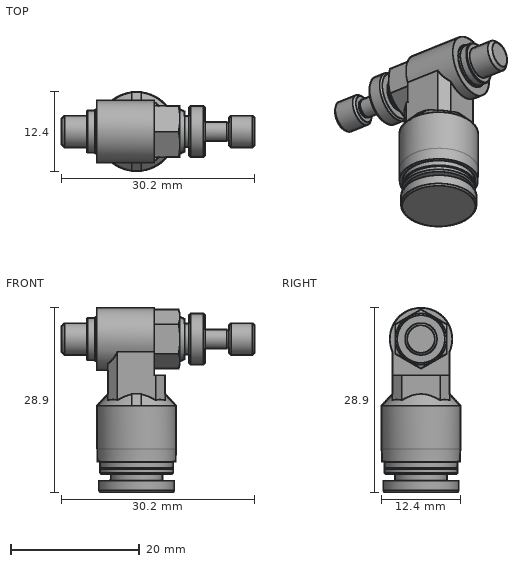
import cadquery as cq
import math


OVERLAP = 0.3

BARREL_R = 4.9
BARREL_LEFT = -6.22
BARREL_RIGHT = 2.78

STUB_R = 2.5
STUB_LEFT = -11.75
STUB_CHAMFER = 0.5
COLLAR_R = 3.32
COLLAR_LEFT = -7.75
COLLAR_CHAMFER = 0.12
SEAL_R = 3.5
SEAL_CONE_LEFT = -6.55
SEAL_LEFT = -6.3

HEX_FLATS = 8.0
HEX_RIGHT = 6.77
HEX_CORNER_DROP = 0.2

SHOULDER_R = 3.5
SHOULDER_END_R = 3.15
SHOULDER_RIGHT = 7.5
SCREW_NECK_R = 2.45
NUT_R = 4.02
NUT_LEFT = 8.2
NUT_RIGHT = 10.72
NUT_CHAMFER = 0.3
STEM_R = 1.5
STEM_RIGHT = 14.1
UNDERCUT_R = 1.4
CAP_R = STUB_R
CAP_LEFT = 14.4
CAP_RIGHT = 18.45
CAP_CHAMFER = 0.35

POST_HALF = 4.47
POST_CHAMFER = 1.48
LEDGE_Z = -5.65

SOCKET_R = 6.2
CONE_TOP_Z = -8.58
SOCKET_TOP_Z = -10.42
TAPER_TOP_Z = -17.15
SOCKET_BOTTOM_Z = -19.15
SOCKET_BOTTOM_R = 6.13
RIB_WIDTH = 1.48

RING_R = 5.75
RING_TOP_CHAMFER = 0.1
GROOVE_R = 5.55
GROOVE_TOP_Z = -20.1
GROOVE_BOTTOM_Z = -20.18
LOWER_RING_TOP_Z = -20.33
RING_BOTTOM_Z = -21.15
RING_CHAMFER = 0.27
TUBE_NECK_R = 4.08
NECK_FLARE_TOP_Z = -21.9
NECK_FLARE_R = 4.1
FLANGE_R = 5.92
FLANGE_TOP_Z = -22.1
FLANGE_BOTTOM_Z = -23.95
FLANGE_CHAMFER_WIDTH = 0.2
FLANGE_CHAMFER_HEIGHT = 0.3


def turned_x(stations):
    """Solid of revolution about X from (x, radius) stations."""
    points = [(stations[0][0], 0)] + stations + [(stations[-1][0], 0)]
    return cq.Workplane("XY").polyline(points).close().revolve(360, (0, 0), (1, 0))


def turned_z(stations):
    """Solid of revolution about Z from (radius, z) stations."""
    points = [(0, stations[0][1])] + stations + [(0, stations[-1][1])]
    return cq.Workplane("XZ").polyline(points).close().revolve(360, (0, 0), (0, 1))


def make_barrel():
    """Barrel with everything that is turned around its axis, from stub to cap."""
    return turned_x([
        (STUB_LEFT, STUB_R - STUB_CHAMFER),
        (STUB_LEFT + STUB_CHAMFER, STUB_R),
        (COLLAR_LEFT, STUB_R),
        (COLLAR_LEFT, COLLAR_R - COLLAR_CHAMFER),
        (COLLAR_LEFT + COLLAR_CHAMFER, COLLAR_R),
        (SEAL_CONE_LEFT, COLLAR_R),
        (SEAL_LEFT, SEAL_R),
        (BARREL_LEFT, SEAL_R),
        (BARREL_LEFT, BARREL_R),
        (BARREL_RIGHT, BARREL_R),
        (BARREL_RIGHT, SHOULDER_R),
        (HEX_RIGHT, SHOULDER_R),
        (SHOULDER_RIGHT, SHOULDER_END_R),
        (SHOULDER_RIGHT, SCREW_NECK_R),
        (NUT_LEFT, SCREW_NECK_R),
        (NUT_LEFT, NUT_R - NUT_CHAMFER),
        (NUT_LEFT + NUT_CHAMFER, NUT_R),
        (NUT_RIGHT - NUT_CHAMFER, NUT_R),
        (NUT_RIGHT, NUT_R - NUT_CHAMFER),
        (NUT_RIGHT, STEM_R),
        (STEM_RIGHT, STEM_R),
        (STEM_RIGHT, UNDERCUT_R),
        (CAP_LEFT, UNDERCUT_R),
        (CAP_LEFT, CAP_R - CAP_CHAMFER),
        (CAP_LEFT + CAP_CHAMFER, CAP_R),
        (CAP_RIGHT - CAP_CHAMFER, CAP_R),
        (CAP_RIGHT, CAP_R - CAP_CHAMFER),
    ])


def make_hexagon():
    """Hexagon with its right-hand corners turned off by a cone."""
    corner_r = HEX_FLATS / 2 / math.cos(math.radians(30))
    left = BARREL_RIGHT - OVERLAP
    corner_up_turn = 90
    prism = (
        cq.Workplane("YZ", origin=(left, 0, 0))
        .polygon(6, 2 * corner_r)
        .extrude(HEX_RIGHT - left)
        .rotate((0, 0, 0), (1, 0, 0), corner_up_turn)
    )
    chamfered_blank = turned_x([
        (left, corner_r),
        (HEX_RIGHT - HEX_CORNER_DROP, corner_r),
        (HEX_RIGHT, HEX_FLATS / 2),
    ])
    return prism.intersect(chamfered_blank)


def make_post():
    """Square post with chamfered corners, cut back to a low ledge beside the barrel."""
    side = 2 * POST_HALF
    post = (
        cq.Workplane("XY", origin=(0, 0, SOCKET_TOP_Z - OVERLAP))
        .rect(side, side)
        .extrude(OVERLAP - SOCKET_TOP_Z)
        .edges("|Z")
        .chamfer(POST_CHAMFER)
    )
    clearance = cq.Workplane("XY").box(side, side, -LEDGE_Z, centered=(False, True, False))
    return post.cut(clearance.translate((BARREL_RIGHT, 0, LEDGE_Z)))


def make_socket():
    """Socket, rings, neck and release flange, from the cone down."""
    return turned_z([
        (POST_HALF, CONE_TOP_Z),
        (SOCKET_R, SOCKET_TOP_Z),
        (SOCKET_R, TAPER_TOP_Z),
        (SOCKET_BOTTOM_R, SOCKET_BOTTOM_Z),
        (RING_R - RING_TOP_CHAMFER, SOCKET_BOTTOM_Z),
        (RING_R, SOCKET_BOTTOM_Z - RING_TOP_CHAMFER),
        (RING_R, GROOVE_TOP_Z),
        (GROOVE_R, GROOVE_TOP_Z),
        (GROOVE_R, GROOVE_BOTTOM_Z),
        (RING_R, LOWER_RING_TOP_Z),
        (RING_R, RING_BOTTOM_Z + RING_CHAMFER),
        (RING_R - RING_CHAMFER, RING_BOTTOM_Z),
        (TUBE_NECK_R, RING_BOTTOM_Z),
        (TUBE_NECK_R, NECK_FLARE_TOP_Z),
        (NECK_FLARE_R, FLANGE_TOP_Z),
        (FLANGE_R, FLANGE_TOP_Z),
        (FLANGE_R, FLANGE_BOTTOM_Z + FLANGE_CHAMFER_HEIGHT),
        (FLANGE_R - FLANGE_CHAMFER_WIDTH, FLANGE_BOTTOM_Z),
    ])


def make_ribs():
    """Flat sloping pads on the front and back of the socket's cone."""
    profile = [
        (-POST_HALF, CONE_TOP_Z),
        (POST_HALF, CONE_TOP_Z),
        (SOCKET_R, SOCKET_TOP_Z),
        (-SOCKET_R, SOCKET_TOP_Z),
    ]
    return cq.Workplane("YZ").polyline(profile).close().extrude(RIB_WIDTH / 2, both=True)


result = (
    make_barrel()
    .union(make_hexagon())
    .union(make_post())
    .union(make_socket())
    .union(make_ribs())
)